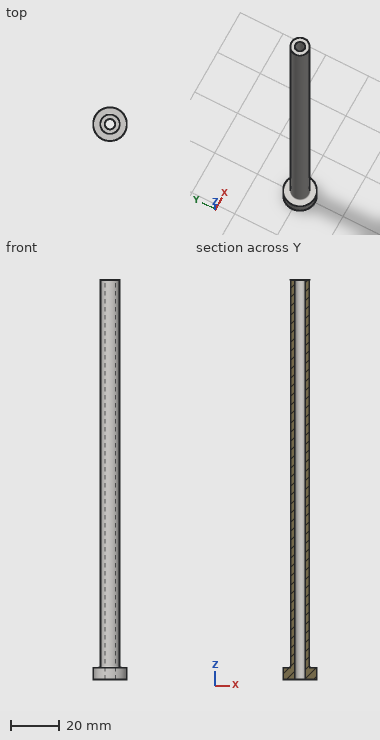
import cadquery as cq

total_length = 165.0
head_diameter = 14.0
head_height = 5.0
tube_diameter = 8.0
bore_diameter = 4.2
root_fillet_radius = 0.5


def make_body():
    """Head with the tube on top, blended by a small fillet at the root."""
    head = cq.Workplane("XY").circle(head_diameter / 2).extrude(head_height)
    tube = cq.Workplane("XY").circle(tube_diameter / 2).extrude(total_length)
    body = head.union(tube)
    head_top = body.faces("<Z[1]")
    root_edge = head_top.edges(cq.selectors.RadiusNthSelector(0))
    return root_edge.fillet(root_fillet_radius)


def make_bore():
    """Straight bore through the full length."""
    return cq.Workplane("XY").circle(bore_diameter / 2).extrude(total_length)


result = make_body().cut(make_bore())